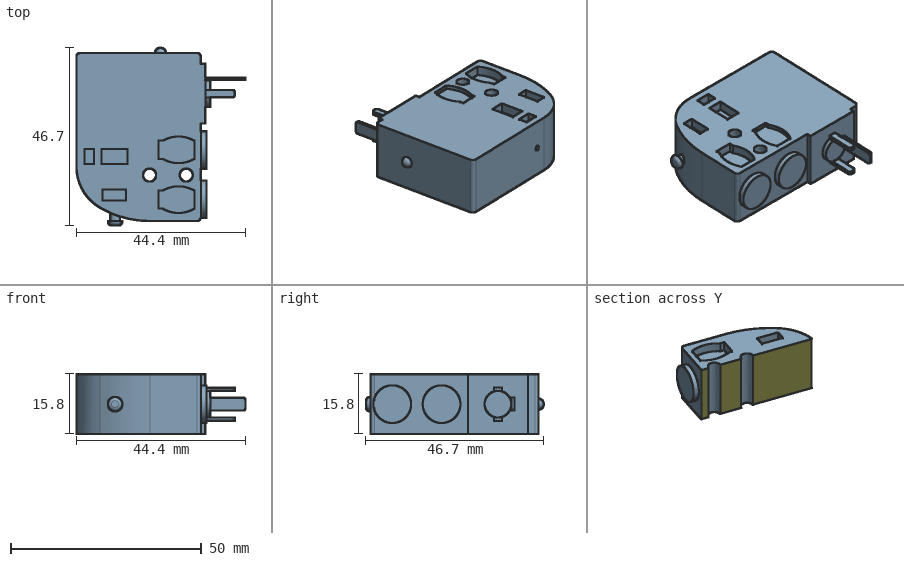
import cadquery as cq
import math

body_width = 32.7
body_length = 44.2
body_height = 15.75
corner_radius = 1.05
mid_height = body_height / 2

side_arc_radius = 12.53
side_arc_start = 14.35
front_arc_radius = 26.17

socket_radius = 4.95
socket_height = 1.55
socket_places = (5.75, 18.7)

plug_y = 33.5
plate_thickness = 1.2
plate_size = body_height
boss_radius = 3.5
boss_height = 1.3
tip_radius = 0.65
contact_length = 7.7
contact_width = 2.0
contact_thickness = 0.9
contact_offset = 3.93
ground_length = 10.5
ground_width = 3.45
ground_thickness = 0.7
ground_offset = 3.93

screw_x = 10.2
shank_radius = 1.3
shank_length = 5.6
head_radius = 1.9
head_height = 1.15
head_flat_radius = 0.95
button_x = 22.1
button_radius = 1.5
button_height = 1.35

screw_hole_radius = 1.7
screw_hole_y = 12.1
screw_hole_places = (19.25, 28.9)

window_depth = 2.6
windows = (
    (3.35, 17.0, 2.52, 3.95),
    (10.1, 17.0, 6.82, 3.95),
    (9.95, 6.9, 6.1, 2.85),
)

recess_left = 21.6
recess_right = 31.0
recess_neck = 1.1
recess_half_width = 2.4
recess_bulge = 1.1
recesses = ((5.65, 2.52), (18.75, 1.05))

side_hole_y = 17.15
side_hole_radius = 0.65
side_hole_depth = 2.1


def arc_point(center, radius, angle):
    return (center[0] + radius * math.cos(angle), center[1] + radius * math.sin(angle))


def make_housing():
    side_center = (side_arc_radius, side_arc_start)
    rise = front_arc_radius - side_arc_start
    run = math.sqrt((front_arc_radius - side_arc_radius) ** 2 - rise**2)
    front_center = (side_arc_radius + run, front_arc_radius)

    left, down = math.pi, 1.5 * math.pi
    join = math.pi + math.atan2(rise, run)
    side_middle = arc_point(side_center, side_arc_radius, (left + join) / 2)
    arc_join = arc_point(side_center, side_arc_radius, join)
    front_middle = arc_point(front_center, front_arc_radius, (join + down) / 2)

    outline = (
        cq.Workplane("XY")
        .moveTo(0, body_length)
        .lineTo(0, side_arc_start)
        .threePointArc(side_middle, arc_join)
        .threePointArc(front_middle, (front_center[0], 0))
        .lineTo(body_width, 0)
        .lineTo(body_width, body_length)
        .close()
    )
    housing = outline.extrude(body_height)
    sharp_corners = housing.edges("|Z and (>X or >Y)")
    return sharp_corners.fillet(corner_radius)


def right_side_disc(x, y, radius, height):
    return cq.Workplane("YZ", origin=(x, y, mid_height)).circle(radius).extrude(height)


def blade(length, size_y, size_z, y, z, tip_edges):
    """Flat prong standing on the plug plate with two rounded tip edges."""
    return (
        cq.Workplane("XY", origin=(body_width + plate_thickness, y, z))
        .box(length, size_y, size_z, centered=(False, True, True))
        .faces(">X")
        .edges(tip_edges)
        .fillet(tip_radius)
    )


def make_plug():
    plate_face = body_width + plate_thickness
    plug = cq.Workplane("XY", origin=(body_width, plug_y, mid_height)).box(
        plate_thickness, plate_size, plate_size, centered=(False, True, True)
    )
    plug = plug.union(right_side_disc(plate_face, plug_y, boss_radius, boss_height))
    for side in (-1, 1):
        contact_z = mid_height + side * contact_offset
        plug = plug.union(
            blade(contact_length, contact_width, contact_thickness, plug_y, contact_z, "|Z")
        )
    ground_y = plug_y + ground_offset
    return plug.union(
        blade(ground_length, ground_thickness, ground_width, ground_y, mid_height, "|Y")
    )


def make_screw():
    """Round-headed screw along Y whose head starts level with the front side."""
    head_bend = math.sqrt(0.5)
    bend_point = (
        head_flat_radius + (head_radius - head_flat_radius) * head_bend,
        -head_height * head_bend,
    )
    return (
        cq.Workplane("XY", origin=(screw_x, 0, mid_height))
        .moveTo(0, shank_length)
        .lineTo(shank_radius, shank_length)
        .lineTo(shank_radius, 0)
        .lineTo(head_radius, 0)
        .threePointArc(bend_point, (head_flat_radius, -head_height))
        .lineTo(0, -head_height)
        .close()
        .revolve(360, (0, 0), (0, 1))
    )


def make_button():
    center_y = body_length + button_height - button_radius
    return cq.Workplane("XY", origin=(button_x, center_y, mid_height)).sphere(button_radius)


def make_recess(center_y, depth):
    """Barrel-shaped pocket with a short straight neck on its left."""
    neck_end = recess_left + recess_neck
    arc_middle = (neck_end + recess_right) / 2
    peak = recess_half_width + recess_bulge
    return (
        cq.Workplane("XY", origin=(0, center_y, body_height))
        .moveTo(recess_left, -recess_half_width)
        .lineTo(neck_end, -recess_half_width)
        .threePointArc((arc_middle, -peak), (recess_right, -recess_half_width))
        .lineTo(recess_right, recess_half_width)
        .threePointArc((arc_middle, peak), (neck_end, recess_half_width))
        .lineTo(recess_left, recess_half_width)
        .close()
        .extrude(-depth)
    )


result = make_housing()

for socket_y in socket_places:
    result = result.union(right_side_disc(body_width, socket_y, socket_radius, socket_height))
result = result.union(make_plug()).union(make_screw()).union(make_button())

for x, y, size_x, size_y in windows:
    window = cq.Workplane("XY", origin=(x, y, body_height)).rect(size_x, size_y)
    result = result.cut(window.extrude(-window_depth))

for recess_y, recess_depth in recesses:
    result = result.cut(make_recess(recess_y, recess_depth))

for hole_x in screw_hole_places:
    hole = cq.Workplane("XY", origin=(hole_x, screw_hole_y, 0)).circle(screw_hole_radius)
    result = result.cut(hole.extrude(body_height))

side_hole = cq.Workplane("YZ", origin=(0, side_hole_y, mid_height)).circle(side_hole_radius)
result = result.cut(side_hole.extrude(side_hole_depth))